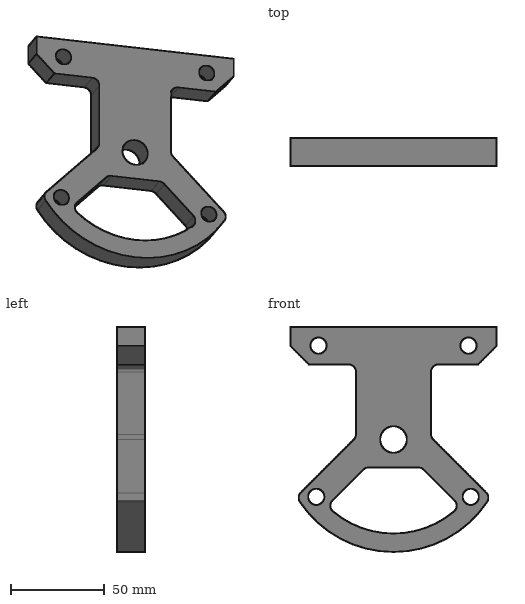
import cadquery as cq
import math

thickness = 15.0
top_height = 60.0
sector_radius = 60.0
rim_width = 10.0
corner_radius = 4.0

head_width = 110.0
head_half_width = head_width / 2
head_depth = 20.0
head_chamfer = 10.0
stem_half_width = 20.0

arm_width = 15.0
window_top_drop = 15.0

pivot_diameter = 14.0
screw_diameter = 8.5
head_hole_x = 40.0
head_hole_drop = 10.0
head_hole_z = top_height - head_hole_drop
arm_hole_x = 41.2
arm_hole_z = arm_width / math.sqrt(2) - arm_hole_x

front_plane = cq.Workplane("XZ", origin=(0, -thickness / 2, 0))


def extrude_back(outline):
    """Extrude an outline from the front face through the plate."""
    return outline.extrude(-thickness)


def make_head():
    """Mounting bar with two clipped lower corners."""
    bar_bottom = top_height - head_depth
    chamfer_start = bar_bottom + head_chamfer
    foot_x = head_half_width - head_chamfer
    return extrude_back(front_plane.polyline([
        (-head_half_width, top_height),
        (head_half_width, top_height),
        (head_half_width, chamfer_start),
        (foot_x, bar_bottom),
        (-foot_x, bar_bottom),
        (-head_half_width, chamfer_start),
    ]).close())


def make_stem_and_sector():
    """Stem that spreads into two arms, closed below by the outer arc."""
    edge_rise = arm_width * math.sqrt(2)
    shoulder_z = edge_rise - stem_half_width
    reach = math.sqrt(sector_radius**2 - arm_width**2)
    tip_x = (reach + arm_width) / math.sqrt(2)
    tip_z = edge_rise - tip_x
    return extrude_back(
        front_plane.moveTo(-stem_half_width, top_height)
        .lineTo(stem_half_width, top_height)
        .lineTo(stem_half_width, shoulder_z)
        .lineTo(tip_x, tip_z)
        .threePointArc((0, -sector_radius), (-tip_x, tip_z))
        .lineTo(-stem_half_width, shoulder_z)
        .close()
    )


def make_window():
    """Rounded opening between the arms and the curved rim."""
    inner_radius = sector_radius - rim_width
    end = inner_radius / math.sqrt(2)
    window = extrude_back(
        front_plane.moveTo(-window_top_drop, -window_top_drop)
        .lineTo(window_top_drop, -window_top_drop)
        .lineTo(end, -end)
        .threePointArc((0, -inner_radius), (-end, -end))
        .close()
    )
    return window.edges("|Y").fillet(corner_radius)


def make_bore(x, z, diameter):
    """Cylinder through the plate, used to cut a plain hole."""
    return extrude_back(front_plane.center(x, z).circle(diameter / 2))


plate = make_head().union(make_stem_and_sector())

margin = 1.2
inner_corners = cq.selectors.BoxSelector(
    (-stem_half_width - margin, -thickness, -sector_radius),
    (stem_half_width + margin, thickness, top_height - margin),
)
arm_tips = cq.selectors.BoxSelector(
    (-head_half_width, -thickness, -sector_radius),
    (head_half_width, thickness, 0),
)
plate = plate.edges("|Y").edges(inner_corners + arm_tips).fillet(corner_radius)
plate = plate.cut(make_window())

plate = plate.cut(make_bore(0, 0, pivot_diameter))
for side in (-1, 1):
    plate = plate.cut(make_bore(side * head_hole_x, head_hole_z, screw_diameter))
    plate = plate.cut(make_bore(side * arm_hole_x, arm_hole_z, screw_diameter))

result = plate